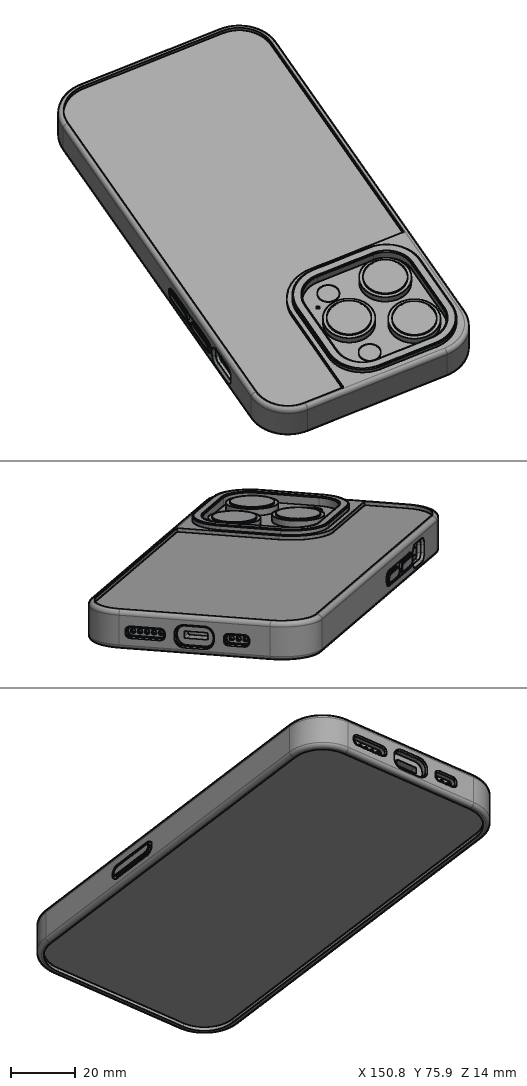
import cadquery as cq

CASE_LENGTH = 150.8
CASE_WIDTH = 74.8
CASE_HEIGHT = 12.4
CASE_CORNER = 13.0
TOP_FILLET = 1.5
BOTTOM_FILLET = 1.4
WALL = 2.1

SCREEN_LIP = 1.4
PHONE_THICKNESS = 8.5
PHONE_LENGTH = CASE_LENGTH - 2 * WALL
PHONE_WIDTH = CASE_WIDTH - 2 * WALL
PHONE_CORNER = CASE_CORNER - WALL
PHONE_TOP = SCREEN_LIP + PHONE_THICKNESS
SIDE_CENTER_Z = SCREEN_LIP + PHONE_THICKNESS / 2

CAMERA_X = 49.9
CAMERA_Y = 12.5
FRAME_LENGTH = 45.0
FRAME_WIDTH = 43.4
FRAME_CORNER = 11.9
FRAME_RIM = 3.2
FRAME_CHAMFER = 0.38
FRAME_TOP = 14.0
OPENING_LENGTH = FRAME_LENGTH - 2 * FRAME_RIM
OPENING_WIDTH = FRAME_WIDTH - 2 * FRAME_RIM
OPENING_CORNER = FRAME_CORNER - FRAME_RIM

PLATEAU_TOP = 11.0
LENS_RADIUS = 8.1
LENS_FACE_RADIUS = 7.0
LENS_HEIGHT = 2.5
LENS_FACE_STEP = 0.5
LENS_SPACING_X = 9.6
LENS_SPACING_Y = 8.9
LENS_OFFSETS = [
    (-LENS_SPACING_X, LENS_SPACING_Y),
    (LENS_SPACING_X, LENS_SPACING_Y),
    (0, -LENS_SPACING_Y),
]
SENSOR_RADIUS = 3.5
SENSOR_SPACING = 13.7
SENSOR_DEPTH = 0.2
MICROPHONE_RADIUS = 0.53
MICROPHONE_DEPTH = 0.8
MICROPHONE_OFFSET = (-10.1, -14.5)

INLAY_MARGIN = 1.8
INLAY_DROP = 1.2
INLAY_THICKNESS = 0.8
INLAY_TOP = CASE_HEIGHT - INLAY_DROP
INLAY_BOTTOM = INLAY_TOP - INLAY_THICKNESS
PANEL_MARGIN = 1.7

BUTTON_HEIGHT = 3.3
BUTTON_PROTRUSION = 0.53
BUTTON_CHAMFER = 0.3
BUTTON_RECESS_HEIGHT = 5.0
BUTTON_RECESS_DEPTH = 0.5
BUTTON_RECESS_MARGIN = 1.0
VOLUME_BUTTONS = [(9.0, 20.8), (23.2, 35.0)]
POWER_BUTTON = (9.0, 27.1)

ACTION_X = 42.8
ACTION_WINDOW = (10.5, 5.9)
ACTION_WINDOW_CORNER = 1.7
ACTION_WINDOW_CHAMFER = 0.9
ACTION_BUTTON = (6.0, 2.4)
ACTION_BUTTON_CORNER = 0.5
ACTION_BUTTON_HEIGHT = 0.5

FLARE_ANGLE = 45.0

END_CHAMFER = 0.5
PORT_WINDOW = (12.0, 6.5)
PORT_WINDOW_CORNER = 2.9
PORT_SLOT = (7.7, 2.3)
PORT_SLOT_CORNER = 0.6
PORT_DEPTH = 4.5
SPEAKER_WINDOW_HEIGHT = 3.0
SPEAKER_WINDOW_CORNER = 1.4
SPEAKER_WINDOW_MARGIN = 1.5
SPEAKER_HOLE_DIAMETER = 1.5
SPEAKER_HOLE_PITCH = 2.3
SPEAKER_HOLE_DEPTH = 1.5
SPEAKERS = [(15.8, 5), (-13.7, 3)]


def rounded_block(length, width, corner, bottom, top, x=0.0, y=0.0):
    """Upright block with rounded corners between two heights."""
    block = cq.Workplane("XY").box(length, width, top - bottom, centered=(True, True, False))
    return block.edges("|Z").fillet(corner).translate((x, y, bottom))


def front_wall_plane(y):
    """Plane facing -Y, with its origin at the middle height of the phone."""
    return cq.Workplane("XZ", origin=(0, y, SIDE_CENTER_Z))


def end_wall_plane(x):
    """Plane facing -X, drawn along -Y and Z from the middle height of the phone."""
    plane = cq.Plane(origin=(x, 0, SIDE_CENTER_Z), xDir=(0, -1, 0), normal=(-1, 0, 0))
    return cq.Workplane(plane)


def rounded_prism(workplane, size, corner, depth, center=0.0):
    """Rounded rectangle placed along a wall plane and extruded along its normal."""
    sketch = cq.Sketch().rect(*size).vertices().fillet(corner)
    return workplane.center(center, 0).placeSketch(sketch).extrude(depth)


def pill(workplane, start, end, height, depth):
    """Slot with round ends along a wall plane."""
    return workplane.center((start + end) / 2, 0).slot2D(end - start, height).extrude(depth)


def wall_window(workplane, size, corner, chamfer, center=0.0):
    """Cutter through a wall, flared by a 45 degree chamfer at the wall's outer face."""
    tunnel = rounded_prism(workplane, size, corner, -WALL, center)
    mouth = cq.Sketch().rect(size[0] + 2 * chamfer, size[1] + 2 * chamfer)
    mouth = mouth.vertices().fillet(corner + chamfer)
    flare = workplane.center(center, 0).placeSketch(mouth).extrude(-chamfer, taper=FLARE_ANGLE)
    return tunnel.union(flare)


def build_camera_frame():
    """Raised ring around the camera opening, with bevelled top edges."""
    outer = rounded_block(
        FRAME_LENGTH, FRAME_WIDTH, FRAME_CORNER, PHONE_TOP, FRAME_TOP, CAMERA_X, CAMERA_Y
    )
    opening = rounded_block(
        OPENING_LENGTH, OPENING_WIDTH, OPENING_CORNER, PHONE_TOP, FRAME_TOP, CAMERA_X, CAMERA_Y
    )
    return outer.cut(opening).faces(">Z").edges().chamfer(FRAME_CHAMFER)


def inlay_outline(bottom, top):
    """Back plate shape between two heights, without the corner that the camera panel takes up."""
    plate = rounded_block(
        CASE_LENGTH - 2 * INLAY_MARGIN,
        CASE_WIDTH - 2 * INLAY_MARGIN,
        CASE_CORNER - INLAY_MARGIN,
        bottom,
        top,
    )
    panel_left = CAMERA_X - FRAME_LENGTH / 2 - PANEL_MARGIN
    panel_front = CAMERA_Y - FRAME_WIDTH / 2 - PANEL_MARGIN
    panel = (
        cq.Workplane("XY", origin=(panel_left, panel_front, bottom))
        .box(CASE_LENGTH, CASE_WIDTH, top - bottom, centered=False)
        .edges("|Z and <X and <Y")
        .fillet(FRAME_CORNER + PANEL_MARGIN)
    )
    return plate.cut(panel)


def build_button(start, end):
    """Push button of the case's -Y wall."""
    outer_face = CASE_WIDTH / 2 + BUTTON_PROTRUSION
    depth = outer_face - PHONE_WIDTH / 2
    button = pill(front_wall_plane(-outer_face), start, end, BUTTON_HEIGHT, -depth)
    return button.faces("<Y").chamfer(BUTTON_CHAMFER)


def add_buttons(case, buttons):
    """Sink one recess into the -Y wall and raise the buttons inside it."""
    recess = pill(
        front_wall_plane(-CASE_WIDTH / 2),
        buttons[0][0] - BUTTON_RECESS_MARGIN,
        buttons[-1][1] + BUTTON_RECESS_MARGIN,
        BUTTON_RECESS_HEIGHT,
        -BUTTON_RECESS_DEPTH,
    )
    case = case.cut(recess)
    for start, end in buttons:
        case = case.union(build_button(start, end))
    return case


def cut_end_openings(case):
    """Open the -X wall in front of the charging port and the speakers."""
    wall = end_wall_plane(-CASE_LENGTH / 2)
    case = case.cut(wall_window(wall, PORT_WINDOW, PORT_WINDOW_CORNER, END_CHAMFER))
    for center_y, hole_count in SPEAKERS:
        length = (hole_count - 1) * SPEAKER_HOLE_PITCH + 2 * SPEAKER_WINDOW_MARGIN
        size = (length, SPEAKER_WINDOW_HEIGHT)
        window = wall_window(wall, size, SPEAKER_WINDOW_CORNER, END_CHAMFER, -center_y)
        case = case.cut(window)
    return case


def build_case():
    """Rounded shell with an open screen side, the back recess, buttons and wall openings."""
    case = rounded_block(CASE_LENGTH, CASE_WIDTH, CASE_CORNER, 0, CASE_HEIGHT)
    case = case.faces(">Z").edges().fillet(TOP_FILLET)
    case = case.faces("<Z").edges().fillet(BOTTOM_FILLET)
    case = case.cut(rounded_block(PHONE_LENGTH, PHONE_WIDTH, PHONE_CORNER, 0, PHONE_TOP))
    case = case.cut(
        rounded_block(
            FRAME_LENGTH, FRAME_WIDTH, FRAME_CORNER, PHONE_TOP, CASE_HEIGHT, CAMERA_X, CAMERA_Y
        )
    )
    case = case.cut(inlay_outline(INLAY_BOTTOM, CASE_HEIGHT))
    case = add_buttons(case, VOLUME_BUTTONS)
    case = add_buttons(case.mirror("XZ"), [POWER_BUTTON]).mirror("XZ")
    action_window = wall_window(
        front_wall_plane(-CASE_WIDTH / 2),
        ACTION_WINDOW,
        ACTION_WINDOW_CORNER,
        ACTION_WINDOW_CHAMFER,
        ACTION_X,
    )
    return cut_end_openings(case.cut(action_window))


def build_lens():
    """Round lens with a smaller raised face, standing on the origin."""
    barrel = cq.Workplane("XY").circle(LENS_RADIUS).extrude(LENS_HEIGHT - LENS_FACE_STEP)
    return barrel.faces(">Z").workplane().circle(LENS_FACE_RADIUS).extrude(LENS_FACE_STEP)


def add_camera(phone):
    """Raise the camera plateau with its lenses and sink the sensors and the microphone into it."""
    phone = phone.union(
        rounded_block(
            OPENING_LENGTH, OPENING_WIDTH, OPENING_CORNER, PHONE_TOP, PLATEAU_TOP, CAMERA_X, CAMERA_Y
        )
    )
    plateau = cq.Workplane("XY", origin=(CAMERA_X, CAMERA_Y, PLATEAU_TOP))
    for x, y in LENS_OFFSETS:
        phone = phone.union(build_lens().translate((CAMERA_X + x, CAMERA_Y + y, PLATEAU_TOP)))
    sensor_offsets = [(side * SENSOR_SPACING, -LENS_SPACING_Y) for side in (-1, 1)]
    phone = phone.cut(plateau.pushPoints(sensor_offsets).circle(SENSOR_RADIUS).extrude(-SENSOR_DEPTH))
    microphone = plateau.pushPoints([MICROPHONE_OFFSET]).circle(MICROPHONE_RADIUS)
    return phone.cut(microphone.extrude(-MICROPHONE_DEPTH))


def cut_end_ports(phone):
    """Sink the charging port and the speaker holes into the -X end."""
    end = end_wall_plane(-PHONE_LENGTH / 2)
    phone = phone.cut(rounded_prism(end, PORT_SLOT, PORT_SLOT_CORNER, -PORT_DEPTH))
    for center_y, hole_count in SPEAKERS:
        row = end.center(-center_y, 0).rarray(SPEAKER_HOLE_PITCH, 1.5, hole_count, 1)
        phone = phone.cut(row.circle(SPEAKER_HOLE_DIAMETER / 2).extrude(-SPEAKER_HOLE_DEPTH))
    return phone


def build_phone():
    """Phone that fills the case, with its camera, end ports and action button."""
    phone = rounded_block(PHONE_LENGTH, PHONE_WIDTH, PHONE_CORNER, SCREEN_LIP, PHONE_TOP)
    phone = cut_end_ports(add_camera(phone))
    action_button = rounded_prism(
        front_wall_plane(-PHONE_WIDTH / 2),
        ACTION_BUTTON,
        ACTION_BUTTON_CORNER,
        ACTION_BUTTON_HEIGHT,
        ACTION_X,
    )
    return phone.union(action_button)


case = build_case()
inlay = inlay_outline(INLAY_BOTTOM, INLAY_TOP)
camera_frame = build_camera_frame()
phone = build_phone()

bodies = [case, inlay, camera_frame, phone]
result = cq.Compound.makeCompound([body.solids().val() for body in bodies])